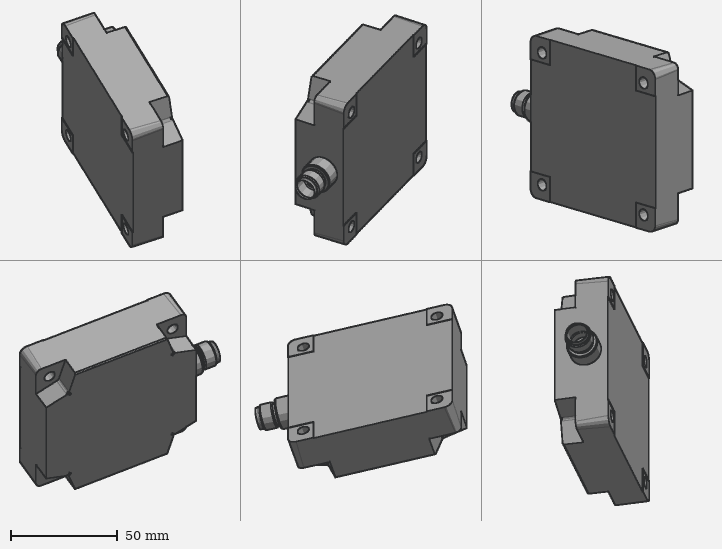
import cadquery as cq

front_side = 80.0
back_side = 79.3
depth = 26.0
front_corner_radius = 3.9
back_corner_radius = 2.2
back_edge_chamfer = 0.7

hole_diameter = 5.6
hole_offset = 32.5
pad_size = 12.4
pad_height = 0.3

flange_thickness = 15.9
notch_mouth = 15.9
notch_inner = 12.1
notch_radius = 1.9

slot_width = 0.9
slot_reach = 1.5
slot_depth = 0.8

plug_length = 17.7
plug_y = 10.9
collar_length = 7.7
collar_diameter = 14.9
collar_chamfer_length = 0.7
collar_chamfer = 0.4
neck_diameter = 11.1
thread_start = 9.1
thread_end = 15.6
thread_diameter = 12.4
thread_chamfer_length = 0.7
tip_diameter = 10.7
tip_bevel_length = 1.2
tip_bevel = 0.2
bore_diameter = 10.2
bore_depth = 13.7
root_overlap = 1.0

half_side = front_side / 2
corner_signs = [(sx, sz) for sx in (-1, 1) for sz in (-1, 1)]


def xz_plane(y):
    """Sketch plane at the given Y: local x is +X, local y is +Z, normal is -Y."""
    return cq.Workplane("XZ", origin=(0, y, 0))


def rounded_square(side, radius):
    return cq.Sketch().rect(side, side).vertices().fillet(radius)


def make_block():
    return (
        xz_plane(depth)
        .placeSketch(
            rounded_square(back_side, back_corner_radius),
            rounded_square(front_side, front_corner_radius).moved(cq.Location(cq.Vector(0, 0, depth))),
        )
        .loft(ruled=True)
    )


def make_front_recess():
    """Shallow cross-shaped layer that leaves a raised pad at each corner."""
    recess = xz_plane(pad_height).rect(front_side, front_side).extrude(pad_height)
    pad_centre = half_side - pad_size / 2
    pads = (
        xz_plane(pad_height)
        .pushPoints([(sx * pad_centre, sz * pad_centre) for sx, sz in corner_signs])
        .rect(pad_size, pad_size)
        .extrude(pad_height)
    )
    return recess.cut(pads)


def make_notch(sx, sz):
    """Corner clearance with two splayed walls meeting in a rounded inner edge."""
    mouth = half_side - notch_mouth
    inner = half_side - notch_inner
    outline = [
        (half_side, half_side),
        (mouth, half_side),
        (inner, inner),
        (half_side, mouth),
    ]
    notch = (
        xz_plane(depth)
        .polyline([(sx * x, sz * z) for x, z in outline])
        .close()
        .extrude(depth - flange_thickness)
    )
    inner_edge = cq.selectors.NearestToPointSelector((sx * inner, (depth + flange_thickness) / 2, sz * inner))
    return notch.edges(inner_edge).fillet(notch_radius)


def make_holes():
    return (
        xz_plane(depth)
        .pushPoints([(sx * hole_offset, sz * hole_offset) for sx, sz in corner_signs])
        .circle(hole_diameter / 2)
        .extrude(depth)
    )


def make_slot(sx, sz):
    """Slot along the corner's diagonal, centred on the sharp inner corner of the notch."""
    inner = half_side - notch_inner
    slot = cq.Workplane("XY").box(2 * slot_reach, slot_depth, slot_width)
    diagonal_angle = -45 * sx * sz
    return slot.rotate((0, 0, 0), (0, 1, 0), diagonal_angle).translate(
        (sx * inner, depth - slot_depth / 2, sz * inner)
    )


def make_plug():
    """Turned connector; the profile is (distance out from the face, radius)."""
    collar_radius = collar_diameter / 2
    neck_radius = neck_diameter / 2
    thread_radius = thread_diameter / 2
    tip_radius = tip_diameter / 2
    bore_radius = bore_diameter / 2
    profile = [
        (-root_overlap, 0),
        (-root_overlap, collar_radius),
        (collar_length - collar_chamfer_length, collar_radius),
        (collar_length, collar_radius - collar_chamfer),
        (collar_length, neck_radius),
        (thread_start, neck_radius),
        (thread_start + thread_chamfer_length, thread_radius),
        (thread_end - thread_chamfer_length, thread_radius),
        (thread_end, neck_radius),
        (thread_end, tip_radius),
        (plug_length - tip_bevel_length, tip_radius),
        (plug_length, tip_radius - tip_bevel),
        (plug_length, bore_radius),
        (plug_length - bore_depth, bore_radius),
        (plug_length - bore_depth, 0),
    ]
    plane = cq.Plane(origin=(-half_side, plug_y, 0), xDir=(-1, 0, 0), normal=(0, 0, 1))
    return cq.Workplane(plane).polyline(profile).close().revolve(360, (0, 0), (1, 0))


housing = make_block().cut(make_front_recess()).cut(make_holes())
for sx, sz in corner_signs:
    housing = housing.cut(make_notch(sx, sz)).cut(make_slot(sx, sz))

housing = housing.faces(">Y").edges("|X").chamfer(back_edge_chamfer)

result = housing.union(make_plug())